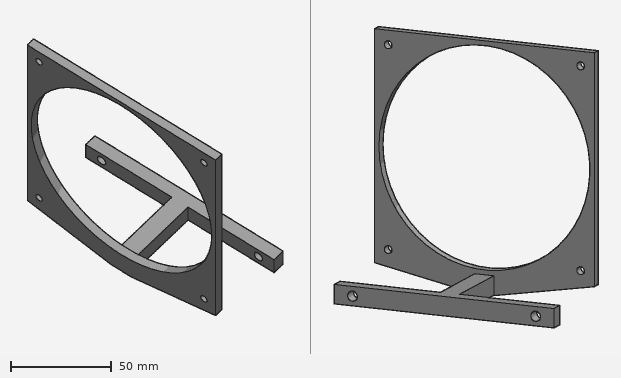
import cadquery as cq

frame_width = 120.0
frame_thickness = 5.1
opening_diameter = 115.0
frame_hole_spacing = 105.0
frame_hole_diameter = 4.0

total_height = 130.0
foot_height = total_height - frame_width
foot_bottom_width = 12.7

total_depth = 53.8
stem_width = 10.4
bar_thickness = 7.3
bar_hole_spacing = 100.0
bar_hole_diameter = 5.2

opening_height = foot_height + frame_width / 2
bar_front = total_depth - bar_thickness


def box(width, y_start, y_end, height):
    """Block centred on X and standing on Z = 0."""
    block = cq.Workplane("XY").box(width, y_end - y_start, height, centered=(True, False, False))
    return block.translate((0, y_start, 0))


def cylinders_along_y(diameter, points):
    """Cutting cylinders through the whole depth at the given (x, z) points."""
    return cq.Workplane("XZ").pushPoints(points).circle(diameter / 2).extrude(-total_depth)


def make_frame():
    half_width = frame_width / 2
    half_foot = foot_bottom_width / 2
    outline = [
        (-half_width, total_height),
        (-half_width, foot_height),
        (-half_foot, 0),
        (half_foot, 0),
        (half_width, foot_height),
        (half_width, total_height),
    ]
    plate = cq.Workplane("XZ").polyline(outline).close().extrude(-frame_thickness)
    offset = frame_hole_spacing / 2
    corners = [(x, opening_height + z) for x in (-offset, offset) for z in (-offset, offset)]
    opening = cylinders_along_y(opening_diameter, [(0, opening_height)])
    return plate.cut(opening).cut(cylinders_along_y(frame_hole_diameter, corners))


def make_mount():
    stem = box(stem_width, frame_thickness, bar_front, foot_height)
    bar = box(frame_width, bar_front, total_depth, foot_height)
    offset = bar_hole_spacing / 2
    hole_points = [(x, foot_height / 2) for x in (-offset, offset)]
    return stem.union(bar.cut(cylinders_along_y(bar_hole_diameter, hole_points)))


result = make_frame().union(make_mount())